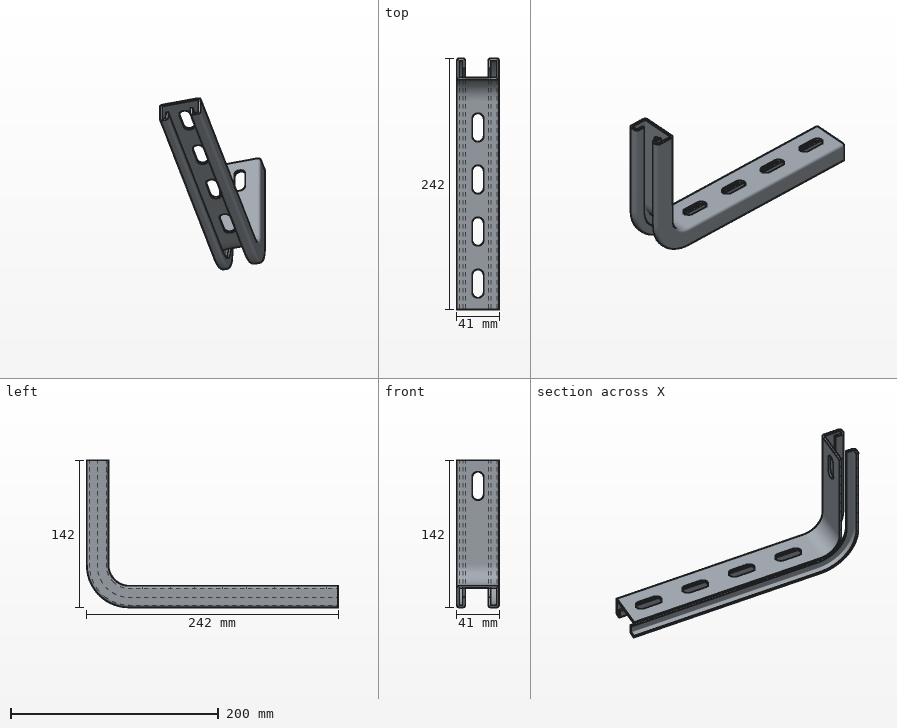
import cadquery as cq
import math

channel_width = 41.0
channel_depth = 21.0
wall = 2.5
outer_corner_radius = 3.0
inner_corner_radius = outer_corner_radius - wall
lip_height = 10.0
left_flange_width = 8.5
right_flange_width = 10.6

arm_length = 242
post_height = 142.0
inside_bend_radius = 19.8
outside_bend_radius = inside_bend_radius + channel_depth

slot_width = 11.0
slot_length = 27.0
slot_end_distance = 25.0
slot_pitch = 50.0
arm_slot_count = 4

bottom_z = -channel_depth
top_z = bottom_z + post_height
post_web_y = arm_length - channel_depth
bend_center_y = arm_length - outside_bend_radius


def rounded_outline(corners):
    """Closed XZ outline of right-angled corners, each given as (x, z, radius)."""
    outline = None
    for i, (x, z, radius) in enumerate(corners):
        corner = cq.Vector(x, z, 0)
        before = cq.Vector(*corners[i - 1][:2], 0)
        after = cq.Vector(*corners[(i + 1) % len(corners)][:2], 0)
        to_before = (before - corner).normalized()
        to_after = (after - corner).normalized()
        start = (corner + to_before * radius).toTuple()[:2]
        if outline is None:
            outline = cq.Workplane("XZ").moveTo(*start)
        else:
            outline = outline.lineTo(*start)
        if radius > 0:
            to_center = (to_before + to_after) * radius
            middle = corner + to_center * (1 - 1 / math.sqrt(2))
            end = corner + to_after * radius
            outline = outline.threePointArc(middle.toTuple()[:2], end.toTuple()[:2])
    return outline.close()


def channel_section():
    """C section with a flat web on top and inturned lips of unequal flange width."""
    right = channel_width / 2
    left = -right
    left_lip = left + left_flange_width
    right_lip = right - right_flange_width
    lip_end = bottom_z + lip_height
    floor = bottom_z + wall
    outer = outer_corner_radius
    inner = inner_corner_radius
    return rounded_outline([
        (left, 0, outer),
        (right, 0, outer),
        (right, bottom_z, outer),
        (right_lip, bottom_z, outer),
        (right_lip, lip_end, 0),
        (right_lip + wall, lip_end, 0),
        (right_lip + wall, floor, inner),
        (right - wall, floor, inner),
        (right - wall, -wall, inner),
        (left + wall, -wall, inner),
        (left + wall, floor, inner),
        (left_lip - wall, floor, inner),
        (left_lip - wall, lip_end, 0),
        (left_lip, lip_end, 0),
        (left_lip, bottom_z, outer),
        (left, bottom_z, outer),
    ])


def bent_channel():
    """Sweep the section along the arm, round the bend and up the post."""
    bend_leg = inside_bend_radius / math.sqrt(2)
    path = (
        cq.Workplane("YZ")
        .lineTo(bend_center_y, 0)
        .threePointArc(
            (bend_center_y + bend_leg, inside_bend_radius - bend_leg),
            (post_web_y, inside_bend_radius),
        )
        .lineTo(post_web_y, top_z)
    )
    return channel_section().sweep(path)


def arm_slots():
    """Row of slot cutters through the arm's web, lengthwise along Y."""
    centers = [(0, slot_end_distance + i * slot_pitch) for i in range(arm_slot_count)]
    slots = cq.Workplane("XY").pushPoints(centers).slot2D(slot_length, slot_width, 90)
    return slots.extrude(-channel_depth)


def post_slot():
    """Single slot cutter through the post's web, lengthwise along Z."""
    return (
        cq.Workplane("XZ", origin=(0, post_web_y, top_z - slot_end_distance))
        .slot2D(slot_length, slot_width, 90)
        .extrude(-channel_depth)
    )


result = bent_channel().cut(arm_slots()).cut(post_slot())